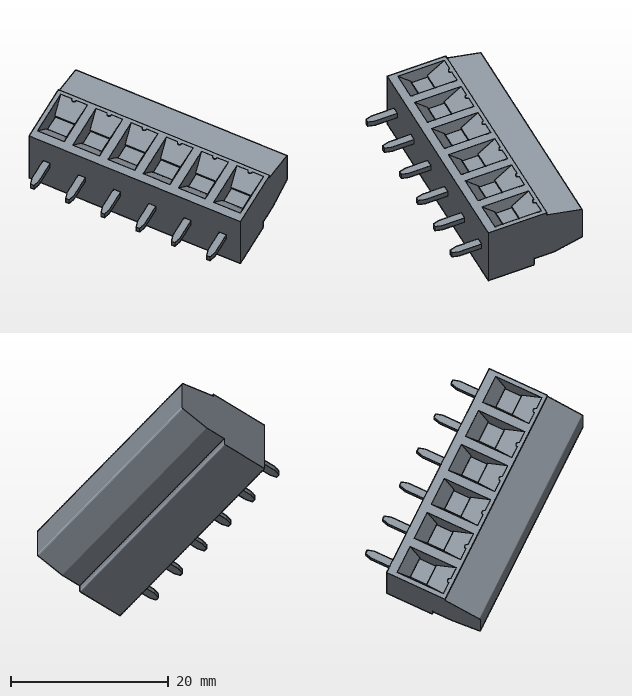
import cadquery as cq


POLE_COUNT = 6
PITCH = 5.0
POLE_CENTERS = [(i - (POLE_COUNT - 1) / 2) * PITCH for i in range(POLE_COUNT)]

LENGTH = POLE_COUNT * PITCH
OVERALL_DEPTH = 17.25
DEPTH = 13.2
HEIGHT = 8.9
TOP_SLOPE_RUN = 5.0
TOP_STEP = 0.4
BOTTOM_SLOPE_RUN = 4.0
SLOPE_RATIO = 0.25
HEEL_DEPTH = 6.45
HEEL_DROP = 1.15
BACK_FILLET = 0.3
HEEL_FILLET = 0.2

POCKET_WIDTH = 3.8
POCKET_LENGTH = 6.5
POCKET_BACK_WALL = 0.5
POCKET_DEPTH = 1.4
FLOOR_WIDTH = 2.7
FRONT_SLOPE_RUN = 1.6
BACK_SLOPE_RUN = 2.6
FLOOR_STEP = 0.2
RIB_RADIUS = 0.3

PIN_WIDTH = 1.0
PIN_THICKNESS = 0.8
PIN_LENGTH = OVERALL_DEPTH - DEPTH
PIN_HEIGHT = 4.5
PIN_TIP_WIDTH = 0.5
PIN_TIP_LENGTH = 0.9

POCKET_BACK = DEPTH - TOP_SLOPE_RUN - POCKET_BACK_WALL
POCKET_FRONT = POCKET_BACK - POCKET_LENGTH


def extrude_along_x(outline, width):
    """Extrude a closed (Y, Z) outline, centered on X = 0."""
    return cq.Workplane("YZ").polyline(outline).close().extrude(width / 2, both=True)


def make_housing():
    back_top = HEIGHT - TOP_STEP - TOP_SLOPE_RUN * SLOPE_RATIO
    back_bottom = HEEL_DROP + BOTTOM_SLOPE_RUN * SLOPE_RATIO
    top_step_y = DEPTH - TOP_SLOPE_RUN
    outline = [
        (0, 0),
        (HEEL_DEPTH, 0),
        (HEEL_DEPTH, HEEL_DROP),
        (DEPTH - BOTTOM_SLOPE_RUN, HEEL_DROP),
        (DEPTH, back_bottom),
        (DEPTH, back_top),
        (top_step_y, HEIGHT - TOP_STEP),
        (top_step_y, HEIGHT),
        (0, HEIGHT),
    ]
    housing = extrude_along_x(outline, LENGTH)
    housing = housing.faces(">Y").edges("|X").fillet(BACK_FILLET)
    return housing.faces("<Z").edges(">Y").fillet(HEEL_FILLET)


def make_pocket():
    """Pocket void at X = 0: sloped front and back walls narrowed by slanted side walls."""
    floor_z = HEIGHT - POCKET_DEPTH
    slope_foot_z = floor_z + FLOOR_STEP
    floor_front = POCKET_FRONT + FRONT_SLOPE_RUN
    floor_back = POCKET_BACK - BACK_SLOPE_RUN
    side_outline = [
        (POCKET_FRONT, HEIGHT),
        (floor_front, slope_foot_z),
        (floor_front, floor_z),
        (floor_back, floor_z),
        (floor_back, slope_foot_z),
        (POCKET_BACK, HEIGHT),
    ]
    cross_outline = [
        (-POCKET_WIDTH / 2, HEIGHT),
        (-FLOOR_WIDTH / 2, floor_z),
        (FLOOR_WIDTH / 2, floor_z),
        (POCKET_WIDTH / 2, HEIGHT),
    ]
    side_shape = extrude_along_x(side_outline, POCKET_WIDTH)
    cross_shape = cq.Workplane("XZ").polyline(cross_outline).close().extrude(-DEPTH)
    rib = (
        cq.Workplane("XY", origin=(0, POCKET_BACK, floor_z))
        .circle(RIB_RADIUS)
        .extrude(POCKET_DEPTH)
    )
    return side_shape.intersect(cross_shape).cut(rib)


def make_pin():
    """Flat pin at X = 0 with its two sides tapered at the tip."""
    taper_y = PIN_TIP_LENGTH - PIN_LENGTH
    outline = [
        (-PIN_WIDTH / 2, 0),
        (-PIN_WIDTH / 2, taper_y),
        (-PIN_TIP_WIDTH / 2, -PIN_LENGTH),
        (PIN_TIP_WIDTH / 2, -PIN_LENGTH),
        (PIN_WIDTH / 2, taper_y),
        (PIN_WIDTH / 2, 0),
    ]
    return (
        cq.Workplane("XY", origin=(0, 0, PIN_HEIGHT))
        .polyline(outline)
        .close()
        .extrude(PIN_THICKNESS / 2, both=True)
    )


result = make_housing()
pocket = make_pocket()
pin = make_pin()
for center_x in POLE_CENTERS:
    result = result.cut(pocket.translate((center_x, 0, 0)))
    result = result.union(pin.translate((center_x, 0, 0)))